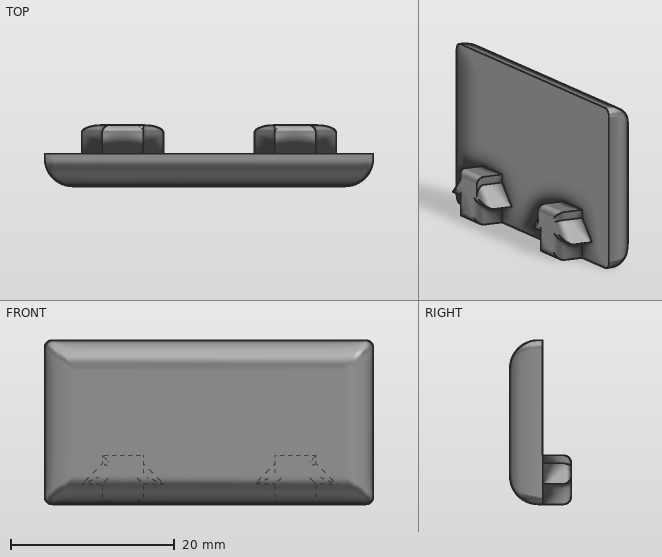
import cadquery as cq

plate_length = 40.2
plate_height = 20.1
plate_thickness = 4.02
rim_thickness = 0.5
front_radius = plate_thickness - rim_thickness
corner_radius = 1.0

lug_center_x = 10.55
lug_depth = 3.5
lug_height = 6.03
lug_fillet = 1.0
half_stem = 2.51
barb_reach = 2.51
barb_base = 2.51

lug_bottom = -plate_height / 2
lug_top = lug_bottom + lug_height
barb_bottom = lug_bottom + barb_base
barb_top = barb_bottom + barb_reach


def make_plate():
    """Rectangular plate with a rounded front rim and rolled corners."""
    plate = cq.Workplane("XY").box(plate_length, plate_thickness, plate_height)
    plate = plate.translate((0, -plate_thickness / 2, 0))
    plate = plate.faces("<Y").edges().fillet(front_radius)
    corner_edges = plate.edges("not(|X or |Z)")
    return corner_edges.fillet(corner_radius)


def make_lug():
    """Right-hand lug: an upright stem with a 45 degree barb on each side."""
    half_span = half_stem + barb_reach
    outer_side = [
        (half_stem, lug_bottom),
        (half_stem, barb_bottom),
        (half_span, barb_bottom),
        (half_stem, barb_top),
        (half_stem, lug_top),
    ]
    inner_side = [(-x, z) for x, z in reversed(outer_side)]
    lug = cq.Workplane("XZ").polyline(outer_side + inner_side).close().extrude(-lug_depth)

    sharp_edge_middle = (-half_stem, lug_depth, (barb_top + lug_top) / 2)
    sharp_edge = cq.selectors.NearestToPointSelector(sharp_edge_middle)
    rounded_edges = lug.faces(">Y").edges(cq.selectors.InverseSelector(sharp_edge))
    return rounded_edges.fillet(lug_fillet).translate((lug_center_x, 0, 0))


right_lug = make_lug()
left_lug = right_lug.mirror("YZ")
result = make_plate().union(right_lug).union(left_lug)